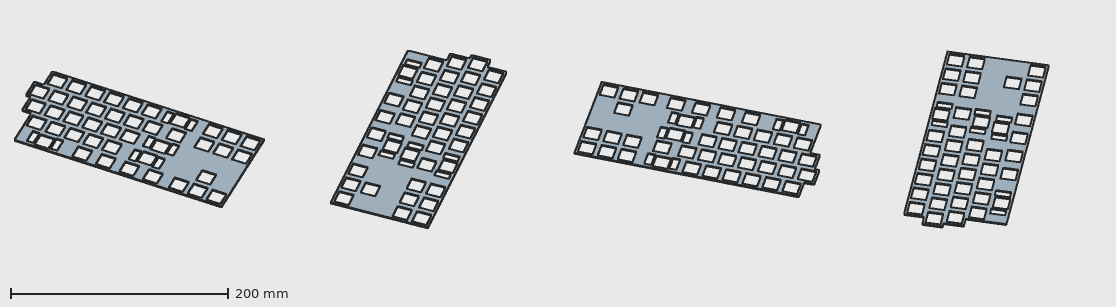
import cadquery as cq

plate_length = 223.8
plate_thickness = 1.5
units_across = 11.75
row_count = 5
key_unit = plate_length / units_across
plate_width = row_count * key_unit

switch_size = 14.0
stabilizer_width = 6.7
stabilizer_height = 14.0
stabilizer_spacing = 24.0
stabilizer_shift = 0.98

outline_corner_radius = 1.3
cutout_corner_radius = 0.3

row_starts = [0.5, 0.0, 0.25, 0.75, 0.75]

row_key_widths = [
    [1] * 6 + [2],
    [1] * 7 + [1.5],
    [1] * 6 + [2.25],
    [1] * 5 + [2.75],
    [2.75] + [1.25] * 4,
]

cluster_columns = [9.25, 10.25, 11.25]
row_cluster_centers = [
    cluster_columns,
    cluster_columns,
    [],
    cluster_columns[1:2],
    cluster_columns,
]

stabilized_key_width = 2
row_stabilizer_directions = [-1, 0, 1, -1, 1]


def row_center_y(row):
    return (row_count / 2 - row - 0.5) * key_unit


def to_x(units):
    return (units - units_across / 2) * key_unit


def make_plate():
    """Plate with a stepped, rounded left edge and a square-cornered right edge."""
    right = plate_length / 2
    back = plate_width / 2
    previous_start = row_starts[0]
    outline = [(right, -back), (right, back), (to_x(previous_start), back)]
    for row, start in enumerate(row_starts):
        if start != previous_start:
            top = row_center_y(row) + key_unit / 2
            outline.append((to_x(previous_start), top))
            outline.append((to_x(start), top))
        previous_start = start
    outline.append((to_x(previous_start), -back))
    blank = cq.Workplane("XY").polyline(outline).close().extrude(plate_thickness)
    return blank.edges("|Z and (not >X)").fillet(outline_corner_radius)


def find_cutout_centers():
    """Centres of all switch cutouts and of all stabilizer slots."""
    switches = []
    slots = []
    for row in range(row_count):
        y = row_center_y(row)
        slot_y = y + row_stabilizer_directions[row] * stabilizer_shift
        left = row_starts[row]
        for width in row_key_widths[row]:
            x = to_x(left + width / 2)
            switches.append((x, y))
            if width >= stabilized_key_width:
                slots.append((x - stabilizer_spacing / 2, slot_y))
                slots.append((x + stabilizer_spacing / 2, slot_y))
            left += width
        for center in row_cluster_centers[row]:
            switches.append((to_x(center), y))
    return switches, slots


def make_cutters(centers, width, height):
    cutters = cq.Workplane("XY").pushPoints(centers).rect(width, height).extrude(plate_thickness)
    return cutters.edges("|Z").fillet(cutout_corner_radius)


switch_centers, slot_centers = find_cutout_centers()
result = (
    make_plate()
    .cut(make_cutters(switch_centers, switch_size, switch_size))
    .cut(make_cutters(slot_centers, stabilizer_width, stabilizer_height))
)